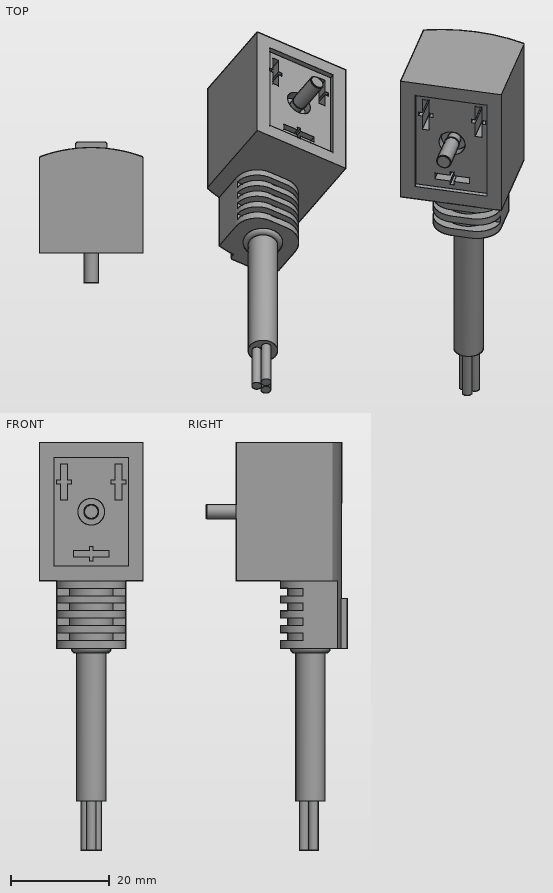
import cadquery as cq
import math


BODY_WIDTH = 21.0
BODY_HEIGHT = 28.0
BODY_DEPTH = 21.35
BACK_RADIUS = 30.0
BACK_CORNER_RADIUS = 0.5
BODY_BOTTOM = -BODY_HEIGHT / 2

FRAME_WALL = 3.0
PANEL_DEPTH = 1.0
PANEL_WIDTH = BODY_WIDTH - 2 * FRAME_WALL
PANEL_HEIGHT = BODY_HEIGHT - 2 * FRAME_WALL

SLOT_DEPTH = 6.0
SLOT_LENGTH = 7.2
SLOT_WIDTH = 1.4
SLOT_BAR_LENGTH = 3.0
SLOT_BAR_WIDTH = 0.8
SIDE_SLOT_X = 5.5
SIDE_SLOT_Z = 6.0
LOWER_SLOT_Z = -8.5

PIN_DIAMETER = 3.0
PIN_NECK_DIAMETER = 2.69
PIN_PROJECTION = 6.1
PIN_HOLE_DIAMETER = 5.4
PIN_HOLE_DEPTH = 2.0

NECK_WIDTH = 14.0
NECK_HEIGHT = 13.7
NECK_FRONT = 8.95
NECK_CORNER_RADIUS = 5.0
NECK_BOTTOM = BODY_BOTTOM - NECK_HEIGHT

GROOVE_COUNT = 4
GROOVE_HEIGHT = 1.5
GROOVE_PITCH = 3.0
FIRST_GROOVE_DROP = 1.5
GROOVE_BACK = 13.5
GROOVE_CORE_RADIUS = 4.6

RIB_WIDTH = 6.4
RIB_HEIGHT = 10.2
RIB_PROJECTION = 1.15
RIB_CORNER_RADIUS = 0.6

CABLE_Y = 15.0
CABLE_DIAMETER = 6.0
CABLE_BOTTOM = -58.5
COLLAR_DIAMETER = 8.0
COLLAR_HEIGHT = 0.9
WIRE_COUNT = 3
WIRE_DIAMETER = 2.0
WIRE_LENGTH = 10.0
WIRE_CIRCLE_RADIUS = 1.25


def box(width, depth, height, x, y, z):
    """Box centred on x and z that starts at y and runs back by depth."""
    return cq.Workplane("XY").box(width, depth, height).translate((x, y + depth / 2, z))


def column(diameter, x, y, top, bottom):
    """Upright cylinder hanging from top down to bottom."""
    return cq.Workplane("XY", origin=(x, y, top)).circle(diameter / 2).extrude(bottom - top)


def rod(diameter, start, end):
    """Cylinder along the pin axis from Y = start to Y = end."""
    return cq.Workplane("XZ", origin=(0, start, 0)).circle(diameter / 2).extrude(start - end)


def crowned_block(width, front, top, height):
    """Block with a flat front and a back that follows the curve of the body."""
    half_width = width / 2
    side_end = BODY_DEPTH - BACK_RADIUS + math.sqrt(BACK_RADIUS**2 - half_width**2)
    return (
        cq.Workplane("XY", origin=(0, 0, top - height))
        .moveTo(-half_width, front)
        .lineTo(half_width, front)
        .lineTo(half_width, side_end)
        .threePointArc((0, BODY_DEPTH), (-half_width, side_end))
        .close()
        .extrude(height)
    )


def contact_slot(x, z, upright):
    """Cross-shaped cutter for one contact slot."""
    depth = PANEL_DEPTH + SLOT_DEPTH
    if upright:
        slot = box(SLOT_WIDTH, depth, SLOT_LENGTH, x, 0, z)
        bar = box(SLOT_BAR_LENGTH, depth, SLOT_BAR_WIDTH, x, 0, z)
    else:
        slot = box(SLOT_LENGTH, depth, SLOT_WIDTH, x, 0, z)
        bar = box(SLOT_BAR_WIDTH, depth, SLOT_BAR_LENGTH, x, 0, z)
    return slot.union(bar)


def make_body():
    body = crowned_block(BODY_WIDTH, 0, BODY_HEIGHT / 2, BODY_HEIGHT)
    body = body.edges("|Z").edges(">Y").fillet(BACK_CORNER_RADIUS)
    body = body.cut(box(PANEL_WIDTH, PANEL_DEPTH, PANEL_HEIGHT, 0, 0, 0))
    for x in (-SIDE_SLOT_X, SIDE_SLOT_X):
        body = body.cut(contact_slot(x, SIDE_SLOT_Z, upright=True))
    body = body.cut(contact_slot(0, LOWER_SLOT_Z, upright=False))
    return body.cut(rod(PIN_HOLE_DIAMETER, 0, PANEL_DEPTH + PIN_HOLE_DEPTH))


def make_pin():
    pin = rod(PIN_DIAMETER, -PIN_PROJECTION, PANEL_DEPTH)
    tip_inset = (PIN_DIAMETER - PIN_NECK_DIAMETER) / 2
    pin = pin.faces("<Y").chamfer(tip_inset)
    return pin.union(rod(PIN_NECK_DIAMETER, PANEL_DEPTH, PANEL_DEPTH + PIN_HOLE_DEPTH))


def groove():
    """Cutter for one groove, hanging down from Z = 0 around the round core of the neck."""
    slab = box(NECK_WIDTH, GROOVE_BACK - NECK_FRONT, GROOVE_HEIGHT, 0, NECK_FRONT, -GROOVE_HEIGHT / 2)
    return slab.cut(column(2 * GROOVE_CORE_RADIUS, 0, CABLE_Y, 0, -GROOVE_HEIGHT))


def make_neck():
    neck = crowned_block(NECK_WIDTH, NECK_FRONT, BODY_BOTTOM, NECK_HEIGHT)
    neck = neck.edges("|Z").edges("<Y").fillet(NECK_CORNER_RADIUS)
    for index in range(GROOVE_COUNT):
        groove_top = BODY_BOTTOM - FIRST_GROOVE_DROP - index * GROOVE_PITCH
        neck = neck.cut(groove().translate((0, 0, groove_top)))
    return neck


def make_rib():
    rib_depth = BODY_DEPTH + RIB_PROJECTION - CABLE_Y
    rib = box(RIB_WIDTH, rib_depth, RIB_HEIGHT, 0, CABLE_Y, NECK_BOTTOM + RIB_HEIGHT / 2)
    return rib.edges("|Z").edges(">Y").fillet(RIB_CORNER_RADIUS)


def make_cable():
    collar_bottom = NECK_BOTTOM - COLLAR_HEIGHT
    collar = column(COLLAR_DIAMETER, 0, CABLE_Y, NECK_BOTTOM + COLLAR_HEIGHT, collar_bottom)
    collar = collar.faces("<Z").edges().fillet(COLLAR_HEIGHT)
    cable = collar.union(column(CABLE_DIAMETER, 0, CABLE_Y, NECK_BOTTOM, CABLE_BOTTOM))
    for index in range(WIRE_COUNT):
        angle = math.radians(-90 + index * 360 / WIRE_COUNT)
        x = WIRE_CIRCLE_RADIUS * math.cos(angle)
        y = CABLE_Y + WIRE_CIRCLE_RADIUS * math.sin(angle)
        cable = cable.union(column(WIRE_DIAMETER, x, y, CABLE_BOTTOM, CABLE_BOTTOM - WIRE_LENGTH))
    return cable


result = make_body().union(make_pin()).union(make_neck()).union(make_rib()).union(make_cable())